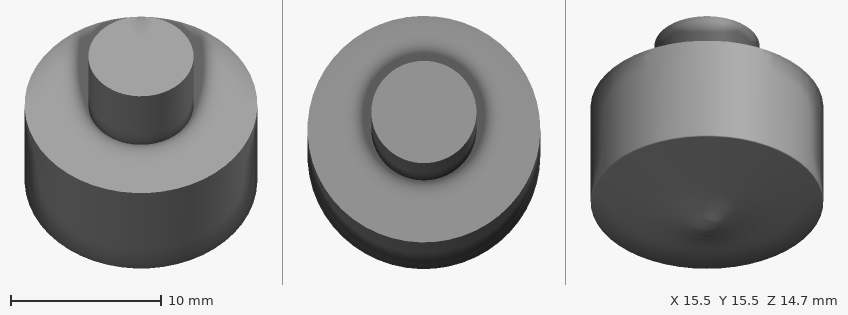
import cadquery as cq
import math

total_height = 14.72
body_radius = 7.75
stud_radius = 7.0 / 2
stud_height = 4.95
body_side_height = 7.65
rim_round = 0.1

shallow_angle = math.radians(11)
steep_angle = math.radians(26)
nose_radius = 1.66
blend_outer_radius = 3.83

body_top = total_height - stud_height
rim_top = body_top - body_side_height

rim_center_radius = body_radius - rim_round
rim_inner_radius = rim_center_radius + rim_round * math.sin(shallow_angle)
rim_bottom = rim_top - rim_round * math.cos(shallow_angle)
rim_mid_angle = (math.pi / 2 - shallow_angle) / 2
rim_mid = (
    rim_center_radius + rim_round * math.cos(rim_mid_angle),
    rim_top - rim_round * math.sin(rim_mid_angle),
)

blend_outer_height = rim_bottom - (rim_inner_radius - blend_outer_radius) * math.tan(shallow_angle)
nose_edge_radius = nose_radius * math.sin(steep_angle)
nose_edge_height = nose_radius * (1 - math.cos(steep_angle))
nose_mid = (
    nose_radius * math.sin(steep_angle / 2),
    nose_radius * (1 - math.cos(steep_angle / 2)),
)

shallow_slope = math.tan(shallow_angle)
steep_slope = math.tan(steep_angle)
height_gap = blend_outer_height - nose_edge_height
cross_radius = (
    height_gap - shallow_slope * blend_outer_radius + steep_slope * nose_edge_radius
) / (steep_slope - shallow_slope)
cross_height = nose_edge_height + steep_slope * (cross_radius - nose_edge_radius)
tangent_length = (blend_outer_radius - cross_radius) / math.cos(shallow_angle)
blend_inner = (
    cross_radius - tangent_length * math.cos(steep_angle),
    cross_height - tangent_length * math.sin(steep_angle),
)

profile = (
    cq.Workplane("XZ")
    .moveTo(0, 0)
    .threePointArc(nose_mid, (nose_edge_radius, nose_edge_height))
    .lineTo(*blend_inner)
    .tangentArcPoint((blend_outer_radius, blend_outer_height), relative=False)
    .lineTo(rim_inner_radius, rim_bottom)
    .threePointArc(rim_mid, (body_radius, rim_top))
    .lineTo(body_radius, body_top)
    .lineTo(stud_radius, body_top)
    .lineTo(stud_radius, total_height)
    .lineTo(0, total_height)
    .close()
)

result = profile.revolve(360, (0, 0, 0), (0, 1, 0))